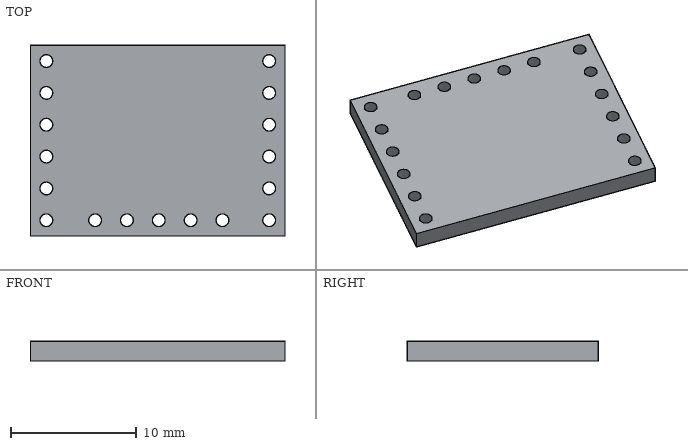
import cadquery as cq

length = 20.32
width = 15.25
thickness = 1.6

hole_diameter = 1.0
pitch = length / 8
edge_distance = pitch / 2
side_hole_count = 6
front_hole_count = 5
front_row_offset = 0.08

column_x = length / 2 - edge_distance
front_row_y = -width / 2 + edge_distance


def centred_positions(count):
    """Return evenly pitched positions centred on zero."""
    return [(i - (count - 1) / 2) * pitch for i in range(count)]


side_holes = [(x, y) for x in (-column_x, column_x) for y in centred_positions(side_hole_count)]

front_holes = [(x + front_row_offset, front_row_y) for x in centred_positions(front_hole_count)]

board = cq.Workplane("XY").box(length, width, thickness)
result = board.faces(">Z").workplane().pushPoints(side_holes + front_holes).hole(hole_diameter)